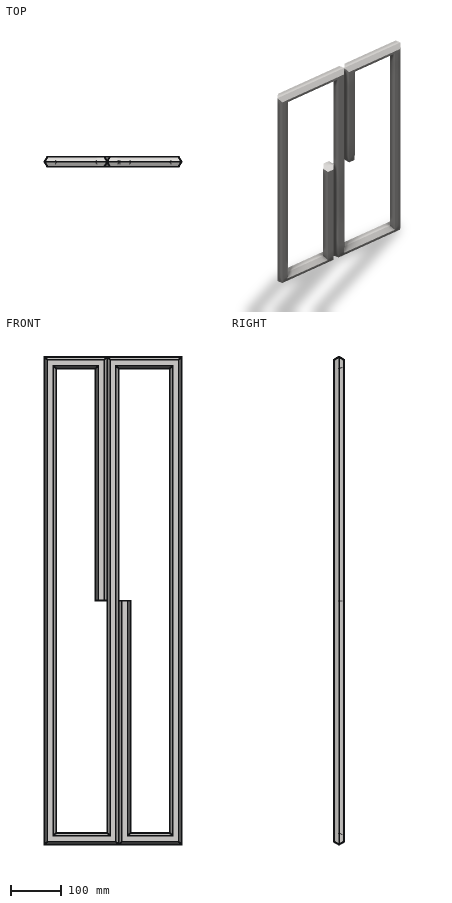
import cadquery as cq
import math

frame_width = 273.0
frame_height = 973.0
bar_depth = 20.0
inner_pitch = 23.0

bar_width = bar_depth / math.cos(math.radians(30))
side_x = (frame_width - bar_width) / 2
end_z = (frame_height - bar_width) / 2


def mitred_bar(points):
    """Hexagonal bar with mitred corners along XZ points; the first stretch must rise in +Z."""
    path = cq.Workplane("XZ").polyline(points)
    section = cq.Workplane("XY", origin=(points[0][0], 0, points[0][1])).polygon(6, bar_width)
    return section.sweep(path, transition="right")


centre_bar = mitred_bar([
    (side_x, 0),
    (side_x, end_z),
    (0, end_z),
    (0, -end_z),
    (-side_x, -end_z),
    (-side_x, 0),
])

left_hook = mitred_bar([
    (-inner_pitch, 0),
    (-inner_pitch, end_z),
    (-side_x, end_z),
    (-side_x, 0),
])

right_hook = left_hook.rotate((0, 0, 0), (0, 1, 0), 180)

result = centre_bar.union(left_hook).union(right_hook)